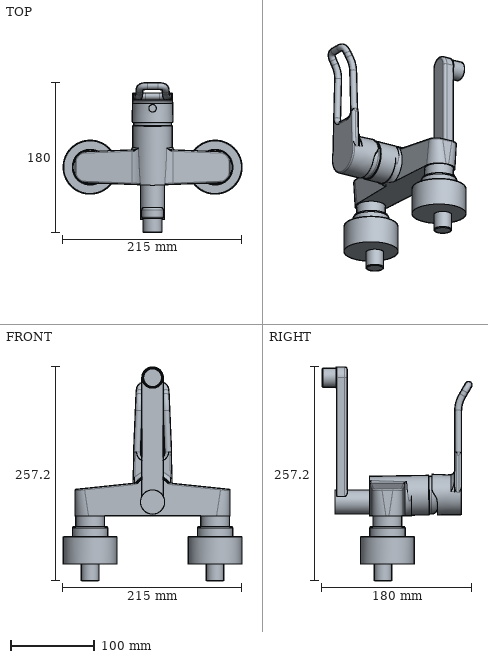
import cadquery as cq
import math


CONNECTION_SPACING = 150.0
ESCUTCHEON_RADIUS = 32.485
ESCUTCHEON_TOP = -41.4
ESCUTCHEON_BOTTOM = -74.6
ESCUTCHEON_CHAMFER = 0.8
STUB_RADIUS = 10.7
STUB_OFFSET = -5.4
STUB_BOTTOM = -94.98
STUB_CHAMFER = 1.0
NUT_RADIUS = 21.4
NUT_TOP = -29.5
NUT_CHAMFER_HEIGHT = 2.0
NUT_CHAMFER_WIDTH = 1.0
NECK_RADIUS = 17.4

BAR_BOTTOM = -16.5
BAR_HALF_LENGTH = 93.2
BAR_END_HALF_WIDTH = 18.2
BAR_MID_HALF_WIDTH = 21.8
BAR_END_TOP = 15.2
BAR_TOP_SLOPE = 6.0
BAR_BOTTOM_CORNER_RADIUS = 17.0
BAR_TOP_CORNER_RADIUS = 12.0
BAR_EDGE_RADIUS = 1.8
BACK_BLEND_DEPTH = 7.0
BACK_BLEND_WIDTH = 4.0
TOP_BLEND_RADIUS = 22.0

HOUSING_RADIUS = 23.9
HOUSING_TILT = 1.0
HOUSING_BACK = 50.3
HOUSING_CENTRE_Z = 8.3
HOUSING_CHAMFER = 0.8
HUB_RADIUS = 22.9
HUB_BACK = 60.0
HUB_ROUNDING = 7.0

LEVER_AXIS_Z = 8.7
LEVER_FRONT = 53.4
LEVER_BACK = 89.2
LEVER_FRONT_RADIUS = 24.7
LEVER_BACK_RADIUS = 24.0
LEVER_BACK_ROUNDING = 1.5
RELIEF_DEPTH = 6.4
RELIEF_TOP = 17.0
RELIEF_BOTTOM = 0.0
PLATE_TOP = 60.0
PLATE_TOP_HALF_WIDTH = 22.6
PLATE_BACK_ROUNDING = 3.4
PLATE_FRONT_ROUNDING = 2.0
PLATE_BLEND_RADIUS = 5.9
MARK_RADIUS = 4.5
MARK_Y = 70.7
MARK_DEPTH = 0.4

LOOP_BAR_RADIUS = 4.25
LOOP_BOTTOM = 49.0
LOOP_BOTTOM_HALF_WIDTH = 19.2
LOOP_TOP_HALF_WIDTH = 15.3
LOOP_CORNER = 11.0
LOOP_TOP_CORNER = 9.0
LOOP_BEND_START = 110.0
LOOP_BEND_END = 128.0
LOOP_LEAN = 30.0
LOOP_TIP_Y = 101.62
LOOP_Y = LEVER_BACK - LOOP_BAR_RADIUS
PLATE_FRONT = LEVER_BACK - 2 * LOOP_BAR_RADIUS

TUBE_RADIUS = 14.5
TUBE_FRONT = -63.0
ARM_HALF_WIDTH = 13.0
ARM_FRONT = -61.2
ARM_BACK = -48.2
ARM_TOP = 162.2
ARM_BACK_ROUNDING = 3.3
ARM_FRONT_ROUNDING = 1.2
COLLAR_RADIUS = 12.6
COLLAR_FRONT = -61.7
OUTLET_RADIUS = 11.5
OUTLET_FRONT = -78.4
OUTLET_CHAMFER = 0.8


def upright_cylinder(radius, bottom, top):
    """Cylinder along Z between two heights."""
    return cq.Workplane("XY").workplane(offset=bottom).circle(radius).extrude(top - bottom)


def depth_cylinder(radius, front, back, z):
    """Cylinder along Y between two depths, centred on X = 0."""
    plane = cq.Plane(origin=(0, front, z), xDir=(-1, 0, 0), normal=(0, 1, 0))
    return cq.Workplane(plane).circle(radius).extrude(back - front)


def make_connection(x):
    """Neck, union nut, escutcheon and threaded stub of one wall connection."""
    overlap = 2.0
    neck = upright_cylinder(NECK_RADIUS, NUT_TOP - overlap, BAR_BOTTOM + overlap)
    shoulder = NUT_TOP - NUT_CHAMFER_HEIGHT
    nut = (
        cq.Workplane("XZ")
        .polyline([
            (0, ESCUTCHEON_TOP),
            (NUT_RADIUS, ESCUTCHEON_TOP),
            (NUT_RADIUS, shoulder),
            (NUT_RADIUS - NUT_CHAMFER_WIDTH, NUT_TOP),
            (0, NUT_TOP),
        ])
        .close()
        .revolve(360, (0, 0, 0), (0, 1, 0))
    )
    escutcheon = upright_cylinder(ESCUTCHEON_RADIUS, ESCUTCHEON_BOTTOM, ESCUTCHEON_TOP)
    escutcheon = escutcheon.faces(">Z").chamfer(ESCUTCHEON_CHAMFER)
    stub = upright_cylinder(STUB_RADIUS, STUB_BOTTOM, ESCUTCHEON_BOTTOM)
    stub = stub.faces("<Z").chamfer(STUB_CHAMFER).translate((0, STUB_OFFSET, 0))
    return neck.union(nut).union(escutcheon).union(stub).translate((x, 0, 0))


def bar_section(z, corner_radius):
    """Plan outline of the bar at one height: tapered, with rounded end corners."""
    outline = (
        cq.Sketch()
        .polygon([
            (0, -BAR_MID_HALF_WIDTH),
            (BAR_HALF_LENGTH, -BAR_END_HALF_WIDTH),
            (BAR_HALF_LENGTH, BAR_END_HALF_WIDTH),
            (0, BAR_MID_HALF_WIDTH),
            (-BAR_HALF_LENGTH, BAR_END_HALF_WIDTH),
            (-BAR_HALF_LENGTH, -BAR_END_HALF_WIDTH),
            (0, -BAR_MID_HALF_WIDTH),
        ])
        .vertices("<X or >X")
        .fillet(corner_radius)
    )
    return outline.moved(cq.Location(cq.Vector(0, 0, z)))


def make_bar_plan(top):
    """Bar cut to plan only, reaching up to a flat top."""
    radius_growth = (BAR_BOTTOM_CORNER_RADIUS - BAR_TOP_CORNER_RADIUS) / (BAR_END_TOP - BAR_BOTTOM)
    radius_at_top = BAR_BOTTOM_CORNER_RADIUS - radius_growth * (top - BAR_BOTTOM)
    return cq.Workplane("XY").placeSketch(
        bar_section(BAR_BOTTOM, BAR_BOTTOM_CORNER_RADIUS),
        bar_section(top, radius_at_top),
    ).loft(ruled=True)


def make_cove(radius, width, foot_y, wall_y, axis_z):
    """Concave collar round a Y axis, from its foot on a cylinder out to a wall."""
    outer = radius + width
    diagonal = 1 - math.sqrt(0.5)
    middle = (radius + width * diagonal, wall_y + (foot_y - wall_y) * diagonal)
    return (
        cq.Workplane("XY")
        .moveTo(0, wall_y)
        .lineTo(outer, wall_y)
        .threePointArc(middle, (radius, foot_y))
        .lineTo(0, foot_y)
        .close()
        .revolve(360, (0, 0, 0), (0, 1, 0))
        .translate((0, 0, axis_z))
    )


def make_bar():
    """Bar with sloping top faces that sweep up over the cartridge housing."""
    slope = math.radians(BAR_TOP_SLOPE)
    crown_z = HOUSING_CENTRE_Z - (HOUSING_BACK + BAR_MID_HALF_WIDTH) * math.tan(math.radians(HOUSING_TILT))
    line_at_centre = BAR_END_TOP + BAR_HALF_LENGTH * math.tan(slope)
    lift = line_at_centre + TOP_BLEND_RADIUS / math.cos(slope) - crown_z
    reach = HOUSING_RADIUS + TOP_BLEND_RADIUS
    housing_angle = math.asin(lift * math.cos(slope) / reach) - slope
    centre_x = reach * math.cos(housing_angle)
    centre_z = crown_z + reach * math.sin(housing_angle)

    def on_blend(direction):
        return (
            centre_x + TOP_BLEND_RADIUS * math.cos(direction),
            centre_z + TOP_BLEND_RADIUS * math.sin(direction),
        )

    on_housing = on_blend(math.pi + housing_angle)
    on_slope = on_blend(1.5 * math.pi - slope)
    middle = on_blend((2.5 * math.pi + housing_angle - slope) / 2)
    crown_top = crown_z + HOUSING_RADIUS
    depth = BAR_MID_HALF_WIDTH + BACK_BLEND_DEPTH
    profile = (
        cq.Workplane("XZ").workplane(offset=-depth)
        .moveTo(-BAR_HALF_LENGTH, BAR_BOTTOM)
        .lineTo(BAR_HALF_LENGTH, BAR_BOTTOM)
        .lineTo(BAR_HALF_LENGTH, BAR_END_TOP)
        .lineTo(*on_slope)
        .threePointArc(middle, on_housing)
        .threePointArc((0, crown_top), (-on_housing[0], on_housing[1]))
        .threePointArc((-middle[0], middle[1]), (-on_slope[0], on_slope[1]))
        .lineTo(-BAR_HALF_LENGTH, BAR_END_TOP)
        .close()
        .extrude(2 * depth)
    )
    bar = make_bar_plan(crown_top + 1).intersect(profile)
    rim = cq.selectors.BoxSelector(
        (-2 * BAR_HALF_LENGTH, -depth, BAR_END_TOP - 1),
        (2 * BAR_HALF_LENGTH, depth, crown_top),
    )
    bar = bar.edges(rim).fillet(BAR_EDGE_RADIUS)
    taper = (BAR_MID_HALF_WIDTH - BAR_END_HALF_WIDTH) / BAR_HALF_LENGTH
    wall_y = BAR_MID_HALF_WIDTH - taper * (HOUSING_RADIUS + BACK_BLEND_WIDTH) - BAR_EDGE_RADIUS
    foot_y = BAR_MID_HALF_WIDTH + BACK_BLEND_DEPTH
    cove = make_cove(HOUSING_RADIUS, BACK_BLEND_WIDTH, foot_y, wall_y, crown_z)
    return bar.union(cove.intersect(profile))


def make_housing():
    """Leaning cartridge housing and the stepped-in hub that carries the lever."""
    length = HOUSING_BACK + BAR_MID_HALF_WIDTH
    housing = depth_cylinder(HOUSING_RADIUS, -BAR_MID_HALF_WIDTH, HOUSING_BACK, HOUSING_CENTRE_Z)
    housing = housing.faces(">Y").chamfer(HOUSING_CHAMFER)
    pivot = (0, HOUSING_BACK, HOUSING_CENTRE_Z)
    housing = housing.rotate(pivot, (1, HOUSING_BACK, HOUSING_CENTRE_Z), HOUSING_TILT)
    limits = (
        cq.Workplane("XY").workplane(offset=BAR_BOTTOM)
        .polyline([
            (0, -BAR_MID_HALF_WIDTH),
            (BAR_HALF_LENGTH, -BAR_END_HALF_WIDTH),
            (BAR_HALF_LENGTH, HUB_BACK),
            (-BAR_HALF_LENGTH, HUB_BACK),
            (-BAR_HALF_LENGTH, -BAR_END_HALF_WIDTH),
        ])
        .close()
        .extrude(length)
    )
    hub = depth_cylinder(HUB_RADIUS, 0, HUB_BACK, HOUSING_CENTRE_Z).faces(">Y").fillet(HUB_ROUNDING)
    return housing.union(hub).intersect(limits)


def plate_block(front, back):
    """Sharp-edged block with the tapered outline of the lever plate."""
    return (
        cq.Workplane("XZ").workplane(offset=-back)
        .moveTo(-LEVER_BACK_RADIUS, LEVER_AXIS_Z)
        .lineTo(-PLATE_TOP_HALF_WIDTH, PLATE_TOP)
        .lineTo(PLATE_TOP_HALF_WIDTH, PLATE_TOP)
        .lineTo(LEVER_BACK_RADIUS, LEVER_AXIS_Z)
        .close()
        .extrude(back - front)
    )


def make_lever_base():
    """Round lever base with the upright plate that carries the loop."""
    base = (
        cq.Workplane("XY")
        .polyline([
            (0, LEVER_FRONT),
            (LEVER_FRONT_RADIUS, LEVER_FRONT),
            (LEVER_BACK_RADIUS, LEVER_BACK),
            (0, LEVER_BACK),
        ])
        .close()
        .revolve(360, (0, 0, 0), (0, 1, 0))
        .translate((0, 0, LEVER_AXIS_Z))
        .faces(">Y").edges().fillet(LEVER_BACK_ROUNDING)
    )
    plate = plate_block(PLATE_FRONT, LEVER_BACK)
    plate = plate.faces(">Y").edges("not <Z").fillet(PLATE_BACK_ROUNDING)
    plate = plate.faces("<Y").edges("<X or >X").fillet(PLATE_FRONT_ROUNDING)
    foot_y = PLATE_FRONT - PLATE_BLEND_RADIUS
    cove = make_cove(LEVER_BACK_RADIUS, PLATE_BLEND_RADIUS, foot_y, PLATE_FRONT, LEVER_AXIS_Z)
    base = base.union(plate).union(cove.intersect(plate_block(foot_y, PLATE_FRONT)))
    opening_height = 2 * (PLATE_TOP - LOOP_BOTTOM)
    opening = (
        cq.Workplane("XZ").workplane(offset=-LEVER_BACK)
        .center(0, LOOP_BOTTOM + opening_height / 2)
        .rect(2 * LOOP_BOTTOM_HALF_WIDTH, opening_height)
        .extrude(LEVER_BACK - PLATE_FRONT)
        .faces("<Z").edges("|Y").fillet(LOOP_CORNER)
    )
    mark_floor = LEVER_AXIS_Z + LEVER_BACK_RADIUS - MARK_DEPTH
    mark = upright_cylinder(MARK_RADIUS, mark_floor, PLATE_TOP).translate((0, MARK_Y, 0))
    return base.cut(opening).cut(make_relief()).cut(mark)


def make_relief():
    """Space that sets back the lower half of the lever's front edge."""
    back = LEVER_FRONT + RELIEF_DEPTH
    front = LEVER_FRONT - 1
    floor = LEVER_AXIS_Z - 2 * LEVER_FRONT_RADIUS
    return (
        cq.Workplane("YZ").workplane(offset=-2 * LEVER_FRONT_RADIUS)
        .moveTo(front, floor)
        .lineTo(back, floor)
        .lineTo(back, RELIEF_BOTTOM)
        .spline([(LEVER_FRONT, RELIEF_TOP)], tangents=[(0, 1), (0, 1)], includeCurrent=True)
        .lineTo(front, RELIEF_TOP)
        .close()
        .extrude(4 * LEVER_FRONT_RADIUS)
    )


def make_loop():
    """Closed ring of round bar: upright legs, then a part leaning backwards."""
    lean = math.radians(LOOP_LEAN)
    tip_y = LOOP_TIP_Y - LOOP_BAR_RADIUS
    bend_middle = (LOOP_BEND_START + LOOP_BEND_END) / 2
    tip_z = bend_middle + (tip_y - LOOP_Y) / math.tan(lean)
    leg_taper = (LOOP_BOTTOM_HALF_WIDTH - LOOP_TOP_HALF_WIDTH) / (tip_z - LOOP_BOTTOM)

    def leg_x(z):
        return LOOP_BOTTOM_HALF_WIDTH - leg_taper * (z - LOOP_BOTTOM)

    def lean_y(z):
        return LOOP_Y + (z - bend_middle) * math.tan(lean)

    def leg_point(z):
        y = LOOP_Y if z <= LOOP_BEND_START else lean_y(z)
        return cq.Vector(leg_x(z), y, z)

    def blend(start, end, start_direction, end_direction):
        return cq.Edge.makeSpline([start, end], tangents=[start_direction, end_direction])

    def bounce(vector):
        return cq.Vector(-vector.x, vector.y, vector.z)

    corner_z = tip_z - LOOP_TOP_CORNER * math.cos(lean)
    leg_low = leg_point(LOOP_BOTTOM + LOOP_CORNER)
    bend_start = leg_point(LOOP_BEND_START)
    bend_end = leg_point(LOOP_BEND_END)
    corner_start = leg_point(corner_z)
    corner_end = cq.Vector(leg_x(tip_z) - LOOP_TOP_CORNER, tip_y, tip_z)
    rail_end = cq.Vector(LOOP_BOTTOM_HALF_WIDTH - LOOP_CORNER, LOOP_Y, LOOP_BOTTOM)
    outward = cq.Vector(1, 0, 0)
    inward = cq.Vector(-1, 0, 0)
    upright = (bend_start - leg_low).normalized()
    leaning = (corner_start - bend_end).normalized()
    path = cq.Wire.assembleEdges([
        cq.Edge.makeLine(bounce(rail_end), rail_end),
        blend(rail_end, leg_low, outward, upright),
        cq.Edge.makeLine(leg_low, bend_start),
        blend(bend_start, bend_end, upright, leaning),
        cq.Edge.makeLine(bend_end, corner_start),
        blend(corner_start, corner_end, leaning, inward),
        cq.Edge.makeLine(corner_end, bounce(corner_end)),
        blend(bounce(corner_end), bounce(corner_start), inward, -bounce(leaning)),
        cq.Edge.makeLine(bounce(corner_start), bounce(bend_end)),
        blend(bounce(bend_end), bounce(bend_start), -bounce(leaning), -bounce(upright)),
        cq.Edge.makeLine(bounce(bend_start), bounce(leg_low)),
        blend(bounce(leg_low), bounce(rail_end), -bounce(upright), outward),
    ])
    start_plane = cq.Plane(origin=bounce(rail_end).toTuple(), xDir=(0, 1, 0), normal=(1, 0, 0))
    return cq.Workplane(start_plane).circle(LOOP_BAR_RADIUS).sweep(cq.Workplane(path))


def make_spout():
    """Swivel tube, upright flat arm with a round top, and outlet."""
    tube = depth_cylinder(TUBE_RADIUS, TUBE_FRONT, 0, 0)
    outlet_z = ARM_TOP - ARM_HALF_WIDTH
    arm = (
        cq.Workplane("XZ").workplane(offset=-ARM_BACK)
        .moveTo(-ARM_HALF_WIDTH, 0)
        .lineTo(ARM_HALF_WIDTH, 0)
        .lineTo(ARM_HALF_WIDTH, outlet_z)
        .threePointArc((0, ARM_TOP), (-ARM_HALF_WIDTH, outlet_z))
        .close()
        .extrude(ARM_BACK - ARM_FRONT)
    )
    arm = arm.faces(">Y").edges("not <Z").fillet(ARM_BACK_ROUNDING)
    arm = arm.faces("<Y").edges("not <Z").fillet(ARM_FRONT_ROUNDING)
    outlet = depth_cylinder(OUTLET_RADIUS, OUTLET_FRONT, ARM_BACK - ARM_BACK_ROUNDING, outlet_z)
    outlet = outlet.faces("<Y").chamfer(OUTLET_CHAMFER)
    collar = depth_cylinder(COLLAR_RADIUS, COLLAR_FRONT, ARM_BACK - ARM_BACK_ROUNDING, outlet_z)
    return tube.union(arm).union(collar).union(outlet)


result = make_bar().union(make_housing())
for side in (-1, 1):
    result = result.union(make_connection(side * CONNECTION_SPACING / 2))
result = result.union(make_spout()).union(make_lever_base()).union(make_loop())